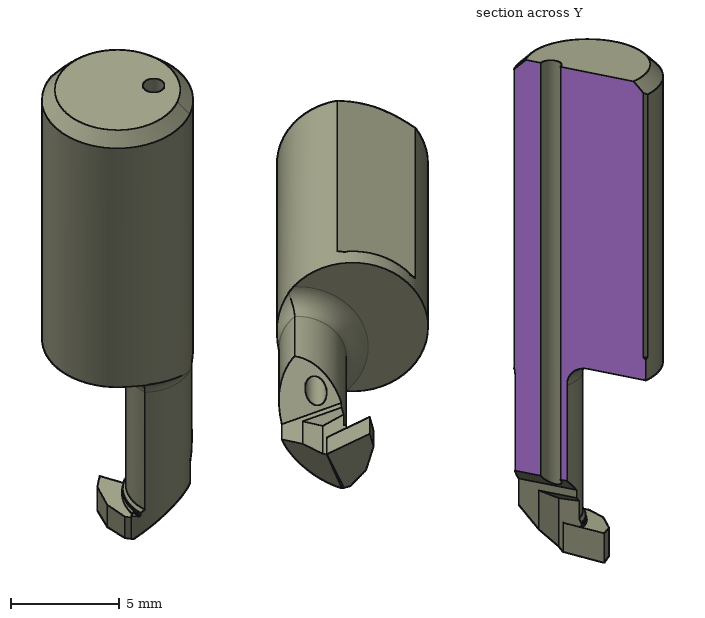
import cadquery as cq
import math

total_length = 25.0
shank_bottom = 10.0

shank_radius = 3.5
shank_chamfer = 0.6
flat_distance = 2.9
flat_bottom = shank_bottom + 1.0
flat_ramp = 0.15
flat_direction = 135

hole_x = 1.5
hole_y = 0.8
hole_diameter = 1.0

neck_right = shank_radius
neck_half_width = 1.5
neck_half_depth = 2.146
neck_center_x = neck_right - neck_half_width
neck_arc_radius = (neck_half_width**2 + neck_half_depth**2) / (2 * neck_half_width)
left_arc_center_x = neck_center_x - neck_half_width + neck_arc_radius
right_arc_center_x = neck_right - neck_arc_radius
root_fillet = 1.0

collar_top = 1.92
collar_flare_height = 0.2
collar_offset = 0.13
collar_foot_offset = 0.2
collar_foot_top = 1.58
collar_foot_bottom = 1.42
collar_sink = 0.5

head_height = 1.5
head_back_x = 1.38
head_clearance_angle = 2.5
cutting_edge = (-0.88, 0.03)
head_flank = [(-0.76, -0.71), (0.05, -1.76), (1.08, -2.31)]

relief_y = 0.12
relief_top = 3.45

rake_slope = 0.116
groove_bottom_x = 1.6
groove_end_x = 2.45
groove_top = 3.05

clearance = 10.0
cut_overlap = 1.0


def rake_y(x):
    return cutting_edge[1] - rake_slope * (x - cutting_edge[0])


def disc(center_x, radius, bottom, height):
    return cq.Workplane("XY").workplane(offset=bottom).center(center_x, 0).circle(radius).extrude(height)


def make_shank():
    length = total_length - shank_bottom
    shank = disc(0, shank_radius, shank_bottom, length).faces(">Z").chamfer(shank_chamfer)
    ledge_distance = flat_distance + flat_ramp
    flat_cut = (
        cq.Workplane("XZ")
        .moveTo(flat_distance, total_length)
        .lineTo(flat_distance, flat_bottom + flat_ramp)
        .lineTo(ledge_distance, flat_bottom)
        .lineTo(clearance, flat_bottom)
        .lineTo(clearance, total_length)
        .close()
        .extrude(clearance, both=True)
        .rotate((0, 0, 0), (0, 0, 1), flat_direction)
    )
    return shank.cut(flat_cut)


def turned_side(center_x, lower_profile):
    """Turned column for one arc of the neck, flaring out into the shank's end face."""
    fillet_start = shank_bottom - root_fillet
    flare_radius = neck_arc_radius + root_fillet
    fillet_middle = (
        flare_radius - root_fillet * math.cos(math.radians(45)),
        fillet_start + root_fillet * math.sin(math.radians(45)),
    )
    profile = cq.Workplane("XZ", origin=(center_x, 0, 0)).moveTo(0, lower_profile[0][1])
    for point in lower_profile:
        profile = profile.lineTo(*point)
    return (
        profile.lineTo(neck_arc_radius, fillet_start)
        .threePointArc(fillet_middle, (flare_radius, shank_bottom))
        .lineTo(0, shank_bottom)
        .close()
        .revolve(360, (0, 0, 0), (0, 1, 0))
    )


def make_neck():
    """Overlap of two turned columns, trimmed to the shank; only the left one has the collar."""
    collar_radius = neck_arc_radius + collar_offset
    foot_radius = neck_arc_radius + collar_foot_offset
    collar_profile = [
        (foot_radius, collar_foot_bottom - collar_sink),
        (foot_radius, collar_foot_bottom),
        (collar_radius, collar_foot_top),
        (collar_radius, collar_top - collar_flare_height),
        (neck_arc_radius, collar_top),
    ]
    left_side = turned_side(left_arc_center_x, collar_profile)
    right_side = turned_side(right_arc_center_x, [(neck_arc_radius, 0)])
    base = cq.Workplane("XY").box(clearance, clearance, head_height, centered=(False, True, False))
    base = base.translate((head_back_x, 0, 0))
    bar = left_side.union(base).intersect(right_side)
    return bar.intersect(disc(0, shank_radius, 0, shank_bottom))


def make_bottom_relief():
    """Thin wedge under the bottom face, thickening from the cutting edge towards -Y."""
    edge_y = cutting_edge[1]
    lean = clearance * math.tan(math.radians(head_clearance_angle))
    return (
        cq.Workplane("YZ")
        .polyline([(edge_y, 0), (edge_y - clearance, lean), (edge_y - clearance, 0)])
        .close()
        .extrude(clearance, both=True)
    )


def make_head():
    """Faceted cutting block with its top and bottom leaning together towards -Y."""
    flush_y = -math.sqrt(neck_arc_radius**2 - (head_back_x - right_arc_center_x) ** 2)
    outline = [cutting_edge, *head_flank, (head_back_x, flush_y), (head_back_x, rake_y(head_back_x))]
    block = cq.Workplane("XY").polyline(outline).close().extrude(head_height)
    bottom_relief = make_bottom_relief()
    top_relief = bottom_relief.mirror("XY", (0, 0, head_height / 2))
    return block.cut(bottom_relief).cut(top_relief)


def sloped_end(floor_y, top):
    """Everything below a 45 degree slope that climbs towards +Y from (floor_y, top)."""
    return (
        cq.Workplane("YZ")
        .polyline([
            (floor_y - cut_overlap, 0),
            (floor_y - cut_overlap, top - cut_overlap),
            (floor_y + clearance, top + clearance),
            (floor_y + clearance, 0),
        ])
        .close()
        .extrude(clearance, both=True)
    )


def make_relief_cut():
    back = cq.Workplane("XY").box(
        2 * clearance, clearance, total_length, centered=(True, False, False)
    ).translate((0, relief_y, 0))
    return back.intersect(sloped_end(relief_y, relief_top))


def make_groove_cut():
    groove = (
        cq.Workplane("XY")
        .polyline([
            cutting_edge,
            (groove_bottom_x, rake_y(groove_bottom_x)),
            (groove_end_x, relief_y),
            (groove_end_x, clearance),
            (cutting_edge[0], clearance),
        ])
        .close()
        .extrude(total_length)
    )
    return groove.intersect(sloped_end(relief_y, groove_top))


def make_corner_cut():
    """45 degree bevel from the back of the head up to the neck's right side."""
    reach = neck_right + cut_overlap
    return (
        cq.Workplane("XZ")
        .polyline([(head_back_x, 0), (reach, 0), (reach, reach - head_back_x)])
        .close()
        .extrude(clearance, both=True)
    )


def make_holder(head):
    holder = make_shank().union(make_neck())
    hole = (
        cq.Workplane("XY").center(hole_x, hole_y).circle(hole_diameter / 2).extrude(total_length)
    )
    cutters = [make_relief_cut(), make_groove_cut(), make_corner_cut(), make_bottom_relief(), hole, head]
    for cutter in cutters:
        holder = holder.cut(cutter)
    return holder


head = make_head()
holder = make_holder(head)

result = cq.Compound.makeCompound([holder.val(), head.val()])